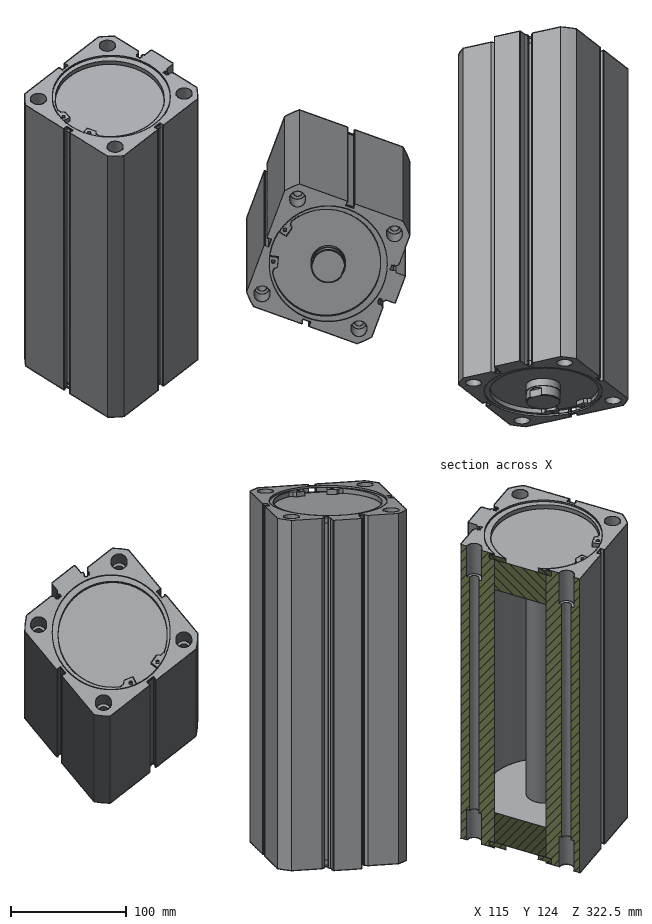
import cadquery as cq
import math


overall_height = 322.5
body_width = 115.0
overall_depth = 124.0
rod_projection = 10.0
body_height = overall_height - rod_projection
half_width = body_width / 2

corner_cut = 10.0
corner_radius = math.hypot(half_width, half_width - corner_cut)

bore_radius = 51.0
groove_radius = 53.5

bolt_offset = 44.5
bolt_hole_diameter = 8.7
counterbore_diameter = 14.0
counterbore_depth = 32.2

slot_depth = 4.2
slot_width = 7.0
slot_mouth = 5.8
slot_lip = 1.0
slot_bevel = 0.48

rail_width = 25.8
rail_chamfer = 0.5

groove_floor = 52.0
groove_height = 2.5
groove_inner_x = 13.5
groove_outer_x = 18.5
groove_corner_cut = 1.0
groove_lip_slope = 0.3
groove_mouth_x = 20.3
rail_lip_x = 14.5
rail_lip_slope = 0.8
outer_lip_x = 17.5
rail_reach = overall_depth - body_width

ring_thickness = 4.2
ring_bore_radius = 47.0
ring_bore_shift = -2.0
ring_gap_angle = 26.4
ear_outline = [
    (24.2, -42.2),
    (20.5, -42.2),
    (18.0, -40.0),
    (9.7, -42.2),
    (11.5, -49.5),
    (22.5, -45.0),
]
ear_hole_diameter = 3.0
ear_hole_x = 14.8
ear_hole_y = -45.0
ring_inset = 1.5

cover_thickness = 32.2

rod_diameter = 30.0
rod_across_flats = 27.0
flat_top = -3.2
rod_chamfer = 0.5
tip_diameter = 29.5
tip_length = 9.0

upper_ring_z = body_height - ring_inset - ring_thickness
lower_ring_z = ring_inset
rod_cover_z = lower_ring_z + ring_thickness
head_cover_z = upper_ring_z - cover_thickness


def disc(radius, z, height):
    return cq.Workplane("XY").workplane(offset=z).circle(radius).extrude(height)


def body_block():
    """Square bar whose corners are turned to one large radius about the axis."""
    square = cq.Workplane("XY").rect(body_width, body_width).extrude(body_height)
    return square.intersect(disc(corner_radius, 0, body_height))


def rail():
    """Rectangular rail along the +Y side."""
    return (
        cq.Workplane("XY")
        .center(0, half_width + rail_reach / 2)
        .rect(rail_width, rail_reach)
        .extrude(body_height)
        .edges("|Z and >Y")
        .chamfer(rail_chamfer)
    )


def rail_groove(side):
    """Undercut groove beside the rail; side is -1 or +1 along X."""
    lip_bottom = groove_floor + groove_height
    profile = [
        (rail_width / 2, half_width),
        (rail_lip_x, half_width - rail_lip_slope),
        (rail_lip_x, lip_bottom),
        (groove_inner_x, lip_bottom),
        (groove_inner_x, groove_floor),
        (groove_outer_x - groove_corner_cut, groove_floor),
        (groove_outer_x, groove_floor + groove_corner_cut),
        (groove_outer_x, lip_bottom - groove_lip_slope),
        (outer_lip_x, lip_bottom),
        (groove_mouth_x, half_width),
    ]
    points = [(side * x, y) for x, y in profile]
    return cq.Workplane("XY").polyline(points).close().extrude(body_height)


def sensor_slot(angle):
    """Lipped slot in the -Y side, turned about Z by angle to reach another side."""
    mouth_edge = slot_mouth / 2
    wall = slot_width / 2
    surface = -half_width
    lip_back = surface + slot_lip
    floor = surface + slot_depth
    half_profile = [
        (mouth_edge + slot_bevel, surface),
        (mouth_edge, surface + slot_bevel),
        (mouth_edge, lip_back),
        (wall, lip_back),
        (wall, floor),
    ]
    points = half_profile + [(-x, y) for x, y in reversed(half_profile)]
    slot = cq.Workplane("XY").polyline(points).close().extrude(body_height)
    return slot.rotate((0, 0, 0), (0, 0, 1), angle)


def bolt_holes():
    """Four through holes, counterbored from both ends."""
    corners = [(sx * bolt_offset, sy * bolt_offset) for sx in (-1, 1) for sy in (-1, 1)]

    def holes(diameter, z, height):
        plane = cq.Workplane("XY").workplane(offset=z)
        return plane.pushPoints(corners).circle(diameter / 2).extrude(height)

    upper = holes(counterbore_diameter, body_height - counterbore_depth, counterbore_depth)
    lower = holes(counterbore_diameter, 0, counterbore_depth)
    return holes(bolt_hole_diameter, 0, body_height).union(upper).union(lower)


def make_housing():
    housing = body_block().union(rail())
    for side in (-1, 1):
        housing = housing.cut(rail_groove(side))
    for angle in (-90, 0, 90):
        housing = housing.cut(sensor_slot(angle))
    housing = housing.cut(bolt_holes())
    housing = housing.cut(disc(bore_radius, 0, body_height))
    for z in (lower_ring_z, upper_ring_z):
        housing = housing.cut(disc(groove_radius, z, ring_thickness))
    return housing


def ring_ear(side, z):
    """Inward lug at one end of the retaining ring."""
    points = [(side * x, y) for x, y in ear_outline]
    return cq.Workplane("XY").workplane(offset=z).polyline(points).close().extrude(ring_thickness)


def make_retaining_ring(z):
    """Open ring with an eccentric bore and an eared gap on the -Y side."""
    plane = cq.Workplane("XY").workplane(offset=z)
    ring = disc(groove_radius, z, ring_thickness)
    ring = ring.cut(plane.center(0, ring_bore_shift).circle(ring_bore_radius).extrude(ring_thickness))
    gap_reach = 2 * groove_radius
    gap_half_width = gap_reach * math.tan(math.radians(ring_gap_angle / 2))
    gap_points = [(0, 0), (gap_half_width, -gap_reach), (-gap_half_width, -gap_reach)]
    gap = plane.polyline(gap_points).close().extrude(ring_thickness)
    for side in (-1, 1):
        ring = ring.union(ring_ear(side, z))
    ring = ring.cut(gap)
    ear_holes = plane.pushPoints([(-ear_hole_x, ear_hole_y), (ear_hole_x, ear_hole_y)])
    return ring.cut(ear_holes.circle(ear_hole_diameter / 2).extrude(ring_thickness))


def make_head_cover():
    return disc(bore_radius, head_cover_z, cover_thickness)


def make_rod_cover():
    cover = disc(bore_radius, rod_cover_z, cover_thickness)
    return cover.cut(disc(rod_diameter / 2, rod_cover_z, cover_thickness))


def make_rod():
    """Rod from its chamfered, slightly reduced tip up to the head cover, with two wrench flats at the tip."""
    tip = disc(tip_diameter / 2, -rod_projection, tip_length).faces("<Z").chamfer(rod_chamfer)
    shaft_z = tip_length - rod_projection
    rod = disc(rod_diameter / 2, shaft_z, head_cover_z - shaft_z).union(tip)
    flat_y = rod_across_flats / 2
    cut_depth = tip_diameter / 2 - flat_y
    for side in (-1, 1):
        profile = [
            (side * flat_y, -rod_projection),
            (side * flat_y, flat_top),
            (side * (flat_y + cut_depth), flat_top + cut_depth),
            (side * (flat_y + cut_depth), -rod_projection),
        ]
        cutter = cq.Workplane("YZ").polyline(profile).close().extrude(rod_diameter / 2, both=True)
        rod = rod.cut(cutter)
    return rod


housing = make_housing()
head_cover = make_head_cover()
rod_cover = make_rod_cover()
rod = make_rod()
retaining_rings = [make_retaining_ring(z) for z in (lower_ring_z, upper_ring_z)]

result = cq.Compound.makeCompound(
    [
        housing.val(),
        head_cover.val(),
        rod_cover.val(),
        rod.val(),
        *[ring.val() for ring in retaining_rings],
    ]
)